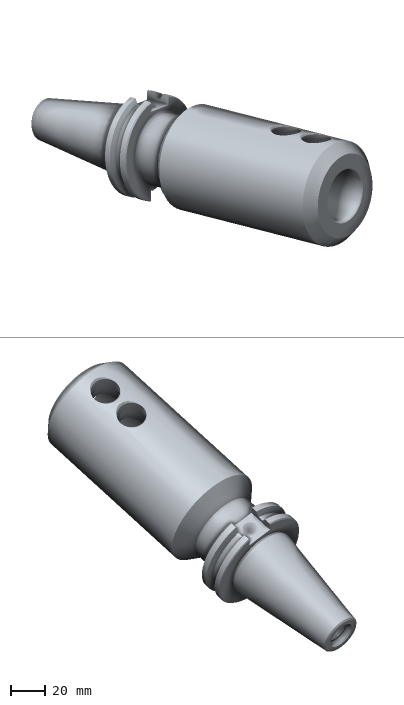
import cadquery as cq
import math

length = 227.0
body_radius = 31.8
body_start = 112.5
nose_chamfer = 6.4

taper_end = 68.0
taper_small_radius = 12.7
taper_tip_chamfer = 1.0
taper_large_radius = 22.2
relief_start = 69.5
relief_radius = 21.8

flange_start = 71.0
flange_end = 87.2
flange_edge = 0.7
flange_middle = (flange_start + flange_end) / 2
groove_floor_radius = 28.4
groove_floor_width = 3.5
groove_mouth_width = 7.5

neck_radius = 22.0
neck_fillet = 1.4
cone_start = 103.0

slot_width = 16.3
top_slot_height = 24.7
bottom_slot_height = 22.5
dimple_radius = 9.5 / 2
dimple_point_angle = 118

through_bore_diameter = 13.5
pull_stud_bore_diameter = 16.3
pull_stud_mouth_diameter = 17.3
pull_stud_mouth_depth = 1.1
pull_stud_bore_depth = 4.0
tool_bore_diameter = 31.8
tool_mouth_diameter = 33.0
tool_mouth_depth = (tool_mouth_diameter - tool_bore_diameter) / 2
tool_bore_depth = 63.5

screw_hole_places = (182.5, 205.2)
screw_hole_radius = 17.3 / 2
screw_mouth_radius = 19.5 / 2


def make_body():
    groove_mouth_half = groove_mouth_width / 2
    groove_floor_half = groove_floor_width / 2
    fillet_middle = neck_fillet * (1 - math.sqrt(0.5))
    return (
        cq.Workplane("XY")
        .moveTo(0, 0)
        .lineTo(0, taper_small_radius - taper_tip_chamfer)
        .lineTo(taper_tip_chamfer, taper_small_radius)
        .lineTo(taper_end, taper_large_radius)
        .lineTo(relief_start, taper_large_radius)
        .lineTo(relief_start, relief_radius)
        .lineTo(flange_start, relief_radius)
        .lineTo(flange_start, body_radius - flange_edge)
        .lineTo(flange_start + flange_edge, body_radius)
        .lineTo(flange_middle - groove_mouth_half, body_radius)
        .lineTo(flange_middle - groove_floor_half, groove_floor_radius)
        .lineTo(flange_middle + groove_floor_half, groove_floor_radius)
        .lineTo(flange_middle + groove_mouth_half, body_radius)
        .lineTo(flange_end - flange_edge, body_radius)
        .lineTo(flange_end, body_radius - flange_edge)
        .lineTo(flange_end, neck_radius + neck_fillet)
        .threePointArc(
            (flange_end + fillet_middle, neck_radius + fillet_middle),
            (flange_end + neck_fillet, neck_radius),
        )
        .lineTo(cone_start, neck_radius)
        .lineTo(body_start, body_radius)
        .lineTo(length - nose_chamfer, body_radius)
        .lineTo(length, body_radius - nose_chamfer)
        .lineTo(length, 0)
        .close()
        .revolve(360, (0, 0, 0), (1, 0, 0))
    )


def make_drive_slot(floor_height):
    """Slot cutter that reaches outward from floor_height on the +Z side."""
    slot_height = 2 * body_radius - floor_height
    return (
        cq.Workplane("XY", origin=(flange_middle, 0, floor_height))
        .box(flange_end - flange_start, slot_width, slot_height, centered=(True, True, False))
    )


def make_dimple():
    """Conical dimple in the floor of the top slot."""
    depth = dimple_radius / math.tan(math.radians(dimple_point_angle / 2))
    cone = cq.Solid.makeCone(
        dimple_radius, 0, depth, cq.Vector(flange_middle, 0, top_slot_height), cq.Vector(0, 0, -1)
    )
    return cq.Workplane(cone)


def make_bore(face_x, direction, diameter, mouth_diameter, mouth_depth, depth):
    """Bore from an end face, with a conical lead-in at its mouth."""
    start = cq.Vector(face_x, 0, 0)
    axis = cq.Vector(direction, 0, 0)
    bore = cq.Solid.makeCylinder(diameter / 2, depth, start, axis)
    mouth = cq.Solid.makeCone(mouth_diameter / 2, diameter / 2, mouth_depth, start, axis)
    return cq.Workplane(bore).union(cq.Workplane(mouth))


def make_screw_hole(x):
    """Radial hole into the tool bore, with a 90 degree countersink sized at the crest of the body."""
    down = cq.Vector(0, 0, -1)
    crest = cq.Vector(x, 0, body_radius)
    hole = cq.Solid.makeCylinder(screw_hole_radius, body_radius, crest, down)
    sink_depth = screw_mouth_radius - screw_hole_radius
    sink = cq.Solid.makeCone(screw_mouth_radius, screw_hole_radius, sink_depth, crest, down)
    return cq.Workplane(hole).union(cq.Workplane(sink))


result = make_body()
result = result.cut(make_drive_slot(top_slot_height))
result = result.cut(make_drive_slot(bottom_slot_height).rotate((0, 0, 0), (1, 0, 0), 180))
result = result.cut(make_dimple())
result = result.cut(cq.Workplane("YZ").circle(through_bore_diameter / 2).extrude(length))
pull_stud_bore = make_bore(
    0, 1, pull_stud_bore_diameter, pull_stud_mouth_diameter, pull_stud_mouth_depth, pull_stud_bore_depth
)
tool_bore = make_bore(
    length, -1, tool_bore_diameter, tool_mouth_diameter, tool_mouth_depth, tool_bore_depth
)
result = result.cut(pull_stud_bore).cut(tool_bore)
for screw_hole_x in screw_hole_places:
    result = result.cut(make_screw_hole(screw_hole_x))